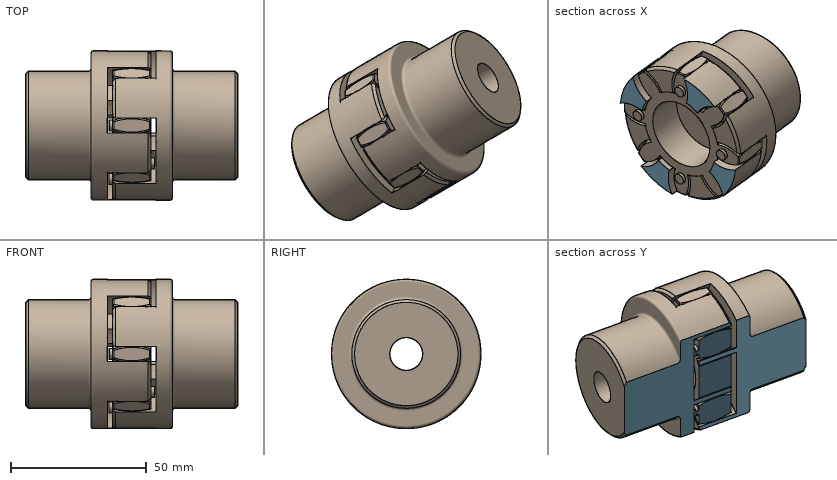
import cadquery as cq
import math


overall_length = 78.0
hub_gap = 18.0
bore_radius = 6.0
sleeve_radius = 20.0
sleeve_chamfer = 1.0
flange_radius = 27.5
flange_width = 6.0
flange_rounding = 1.0

leg_count = 8
leg_pitch = 360.0 / leg_count
jaws_per_hub = leg_count // 2
jaw_pitch = 360.0 / jaws_per_hub
tip_clearance = 2.0
jaw_inner_radius = 17.4
jaw_tip_chamfer = 1.0
flank_radius = 13.5
leg_half_width = 4.45
leg_widest_radius = 20.7

spider_width = hub_gap - 2 * tip_clearance
spider_bore_radius = 13.5
spider_radius = 27.2
leg_crown = 1.0
leg_edge_chamfer = 0.4
pad_radius = 2.05
pad_height = 1.3
pad_circle_radius = 19.7

end_x = overall_length / 2
face_x = hub_gap / 2
flange_back_x = face_x + flange_width
tip_x = spider_width / 2
flank_centre_offset = flank_radius - leg_half_width
arc_midpoint = math.sqrt(0.5)


def about_x(body, angle):
    return body.rotate((0, 0, 0), (1, 0, 0), angle)


def hub_body():
    """Sleeve and flange of the hub at the -X end, turned about the X axis."""
    r = flange_rounding
    fillet_radius = sleeve_radius + r
    rim_centre_x = -flange_back_x + r
    rim_centre_radius = flange_radius - r
    return (
        cq.Workplane("XY")
        .moveTo(-end_x, bore_radius)
        .lineTo(-end_x, sleeve_radius - sleeve_chamfer)
        .lineTo(-end_x + sleeve_chamfer, sleeve_radius)
        .lineTo(-flange_back_x - r, sleeve_radius)
        .threePointArc(
            (-flange_back_x - r + r * arc_midpoint, fillet_radius - r * arc_midpoint),
            (-flange_back_x, fillet_radius),
        )
        .lineTo(-flange_back_x, rim_centre_radius)
        .threePointArc(
            (rim_centre_x - r * arc_midpoint, rim_centre_radius + r * arc_midpoint),
            (rim_centre_x, flange_radius),
        )
        .lineTo(-face_x, flange_radius)
        .lineTo(-face_x, bore_radius)
        .close()
        .revolve(360, (0, 0, 0), (1, 0, 0))
    )


def leg_slot():
    """Space between two jaws: the overlap of two cylinders, lying on the +Y side."""
    flanks = [
        cq.Workplane("YZ", origin=(-face_x, leg_widest_radius, side * flank_centre_offset))
        .circle(flank_radius)
        .extrude(hub_gap)
        for side in (-1, 1)
    ]
    return flanks[0].intersect(flanks[1])


def jaw():
    """One jaw of the -X hub, between the slots at zero and one leg pitch."""
    sector = (
        cq.Workplane("XY")
        .moveTo(-face_x, jaw_inner_radius)
        .lineTo(-face_x, flange_radius)
        .lineTo(tip_x - jaw_tip_chamfer, flange_radius)
        .lineTo(tip_x, flange_radius - jaw_tip_chamfer)
        .lineTo(tip_x, jaw_inner_radius)
        .close()
        .revolve(leg_pitch, (0, 0, 0), (1, 0, 0))
    )
    slot = leg_slot()
    return sector.cut(slot).cut(about_x(slot, leg_pitch))


def hub():
    body = hub_body()
    single_jaw = jaw()
    for index in range(jaws_per_hub):
        body = body.union(about_x(single_jaw, index * jaw_pitch))
    return body


def crowned_flank(side):
    """Barrel whose axis is parallel to X; its far wall is one flank of the leg on the +Y side."""
    centre_z = side * flank_centre_offset
    end_radius = flank_radius - leg_crown
    return (
        cq.Workplane("XY", origin=(0, leg_widest_radius, centre_z))
        .moveTo(-tip_x, 0)
        .lineTo(-tip_x, end_radius)
        .threePointArc((0, flank_radius), (tip_x, end_radius))
        .lineTo(tip_x, 0)
        .close()
        .revolve(360, (0, 0, 0), (1, 0, 0))
    )


def leg():
    """Spider leg on the +Y side, crowned along X, with chamfered edges round its outer face."""
    envelope = cq.Workplane("YZ", origin=(-tip_x, 0, 0)).circle(spider_radius).extrude(spider_width)
    blank = crowned_flank(-1).intersect(crowned_flank(1)).intersect(envelope)
    return blank.faces(">Y").edges().chamfer(leg_edge_chamfer)


def pad(end):
    """Round spacer pad on the leg's end face; end is -1 or 1 along X."""
    return (
        cq.Workplane("YZ", origin=(end * tip_x, pad_circle_radius, 0))
        .circle(pad_radius)
        .extrude(end * pad_height)
    )


def spider():
    bore = cq.Workplane("YZ", origin=(-tip_x, 0, 0)).circle(spider_bore_radius).extrude(spider_width)
    body = cq.Workplane("YZ", origin=(-tip_x, 0, 0)).circle(jaw_inner_radius).extrude(spider_width)
    single_leg = leg()
    for index in range(leg_count):
        end = -1 if index % 2 == 0 else 1
        leg_with_pad = single_leg.union(pad(end))
        body = body.union(about_x(leg_with_pad, index * leg_pitch))
    return body.cut(bore)


left_hub = hub()
right_hub = left_hub.rotate((0, 0, 0), (0, 0, 1), 180)
elastic_spider = spider()

bodies = [left_hub, right_hub, elastic_spider]
result = cq.Compound.makeCompound([body.solids().val() for body in bodies])